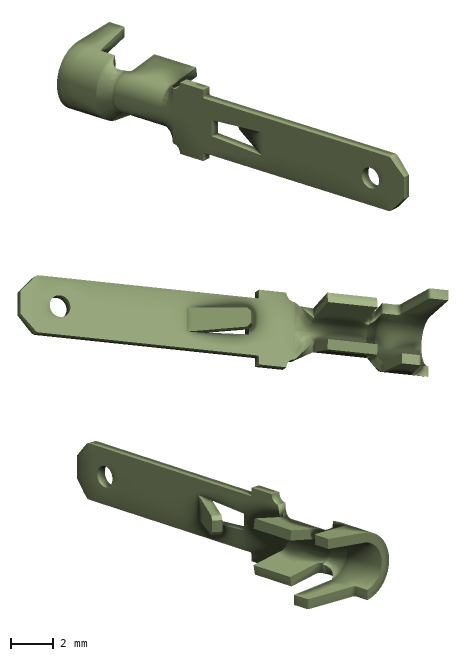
import cadquery as cq
import math

length = 20.57
height = 3.95
sheet = 0.5

barrel_end = 2.37
neck_waist = 2.63
neck_end = 3.0
crimp_start = 3.33
crimp_end = 5.86
shoulder_start = 7.05
shoulder_end = 8.45
tip_corner = 19.77
tip_taper_start = 20.01

barrel_radius = 1.7
barrel_flare = 5.0
barrel_wing_tip = 0.97
barrel_wing_foot = 1.48
wing_tip_round = 0.15
wing_foot_round = 0.16
crimp_radius = 1.1
crimp_flare = 10.0
crimp_wing_length = 1.83
crimp_foot_round = 0.25
plate_bottom = 0.5
barrel_center = barrel_radius
crimp_center = plate_bottom + crimp_radius

edge_angle = 10.0
waist_edge_angle = 25.0

blade_half_width = 1.4
shoulder_half_width = 1.83
shoulder_cove = shoulder_half_width - blade_half_width
plate_start = shoulder_start - shoulder_cove
shoulder_round = 0.08
tip_half_width = 0.55
tip_corner_round = 0.25
tip_thinning = 0.06
hole_x = 18.57
hole_diameter = 1.05

lance_root = 11.97
lance_length = 3.19
lance_angle = 31.0
lance_root_half_width = 0.6
lance_tip_half_width = 0.47
lance_corner = 0.19
slot_start = 8.97
slot_tip_half_width = 0.41


def polar(center_y, radius, angle):
    """(Y, Z) point on a circle about Z = 0, with the angle measured from +Z toward -Y."""
    a = math.radians(angle)
    return (center_y - radius * math.sin(a), radius * math.cos(a))


def mirrored(point):
    return (point[0], -point[1])


def winged_section(x, center_y, radius, flare, wing_length):
    """U section: a curled floor and two straight wings tangent to it."""
    a = math.radians(flare)
    outer_foot = polar(center_y, radius, flare)
    inner_foot = polar(center_y, radius - sheet, flare)
    rise = (wing_length * math.cos(a), wing_length * math.sin(a))
    outer_tip = (outer_foot[0] + rise[0], outer_foot[1] + rise[1])
    inner_tip = (inner_foot[0] + rise[0], inner_foot[1] + rise[1])
    return (
        cq.Workplane("YZ", origin=(x, 0, 0))
        .moveTo(*outer_tip)
        .lineTo(*outer_foot)
        .threePointArc((center_y - radius, 0), mirrored(outer_foot))
        .lineTo(*mirrored(outer_tip))
        .lineTo(*mirrored(inner_tip))
        .lineTo(*mirrored(inner_foot))
        .threePointArc((center_y - radius + sheet, 0), inner_foot)
        .lineTo(*inner_tip)
        .close()
    )


def curled_wire(x, center_y, radius, angle):
    """Closed outline of the curled sheet alone, without wings."""
    outer = polar(center_y, radius, angle)
    inner = polar(center_y, radius - sheet, angle)
    outline = (
        cq.Workplane("YZ", origin=(x, 0, 0))
        .moveTo(*outer)
        .threePointArc((center_y - radius, 0), mirrored(outer))
        .lineTo(*mirrored(inner))
        .threePointArc((center_y - radius + sheet, 0), inner)
        .close()
    )
    return outline.val()


def half_curled_wire(x, center_y, radius, angle):
    """Closed outline of the +Z half of the curled sheet."""
    outer = polar(center_y, radius, angle)
    inner = polar(center_y, radius - sheet, angle)
    middle_angle = (90 + angle) / 2
    outline = (
        cq.Workplane("YZ", origin=(x, 0, 0))
        .moveTo(*outer)
        .threePointArc(polar(center_y, radius, middle_angle), (center_y - radius, 0))
        .lineTo(center_y - radius + sheet, 0)
        .threePointArc(polar(center_y, radius - sheet, middle_angle), inner)
        .close()
    )
    return outline.val()


def half_flat_wire(x):
    """Closed outline of the +Z half of the flat sheet where the blade begins."""
    outline = cq.Workplane("YZ", origin=(x, 0, 0)).polyline([
        (plate_bottom, blade_half_width),
        (plate_bottom, 0),
        (plate_bottom + sheet, 0),
        (plate_bottom + sheet, blade_half_width),
    ]).close()
    return outline.val()


def joined(wires):
    return cq.Workplane(cq.Solid.makeLoft(wires))


def barrel_wing_gap():
    """Space beside the +Z wing, which stands at the open end of the barrel."""
    foot_y = polar(barrel_center, barrel_radius, edge_angle)[0]
    gap = (
        cq.Workplane("XY")
        .moveTo(barrel_wing_tip, height)
        .lineTo(barrel_wing_foot, foot_y)
        .lineTo(barrel_end, foot_y)
        .lineTo(barrel_end, height)
        .close()
        .extrude(2 * barrel_radius)
    )
    foot_edge = cq.selectors.NearestToPointSelector((barrel_wing_foot, foot_y, barrel_radius))
    return gap.edges(foot_edge).fillet(wing_foot_round)


def barrel():
    """Insulation barrel with one wing at each end, on opposite sides."""
    overlong_wing = height
    body = winged_section(0, barrel_center, barrel_radius, barrel_flare, overlong_wing).extrude(barrel_end)
    body = body.intersect(cq.Workplane("XY").box(barrel_end, height, length, (False, False, True)))
    gap = barrel_wing_gap()
    opposite_gap = gap.rotate((barrel_end / 2, 0, 0), (barrel_end / 2, 1, 0), 180)
    body = body.cut(gap).cut(opposite_gap)
    tip_edges = cq.selectors.BoxSelector(
        (barrel_wing_tip - wing_tip_round, height - wing_tip_round, -length),
        (barrel_end - barrel_wing_tip + wing_tip_round, height + wing_tip_round, length),
    )
    return body.edges("|Z").edges(tip_edges).fillet(wing_tip_round)


def neck():
    """Curled sheet narrowing from the barrel to the wire crimp, with a dip in its edges."""
    share = (neck_waist - barrel_end) / (neck_end - barrel_end)
    waist_radius = barrel_radius + share * (crimp_radius - barrel_radius)
    waist_center = barrel_center + share * (crimp_center - barrel_center)
    return joined([
        curled_wire(barrel_end, barrel_center, barrel_radius, edge_angle),
        curled_wire(neck_waist, waist_center, waist_radius, waist_edge_angle),
        curled_wire(neck_end, crimp_center, crimp_radius, edge_angle),
    ])


def crimp():
    """Wire crimp; its wings begin with a rounded foot at the neck side."""
    body = winged_section(neck_end, crimp_center, crimp_radius, crimp_flare, crimp_wing_length)
    body = body.extrude(crimp_end - neck_end)
    foot_y = polar(crimp_center, crimp_radius, edge_angle)[0]
    wing_clearance = (
        cq.Workplane("XY")
        .moveTo(neck_end, foot_y)
        .lineTo(crimp_start - crimp_foot_round, foot_y)
        .radiusArc((crimp_start, foot_y + crimp_foot_round), -crimp_foot_round)
        .lineTo(crimp_start, height)
        .lineTo(neck_end, height)
        .close()
        .extrude(2 * crimp_radius, both=True)
    )
    return body.cut(wing_clearance)


def flare():
    """The curled sheet opening out flat between the crimp and the blade."""
    half = joined([
        half_curled_wire(crimp_end, crimp_center, crimp_radius, edge_angle),
        half_flat_wire(plate_start),
    ])
    return half.union(half.mirror("XY"))


def blade():
    """Flat blade with shoulders, a thinned pointed tip, a hole and the lance slot."""
    sheet_plane = cq.Workplane("XZ", origin=(0, plate_bottom, 0))
    half = (
        sheet_plane.moveTo(plate_start, 0)
        .lineTo(plate_start, blade_half_width)
        .radiusArc((shoulder_start, shoulder_half_width), -shoulder_cove)
        .lineTo(shoulder_end, shoulder_half_width)
        .lineTo(shoulder_end, blade_half_width + shoulder_round)
        .radiusArc((shoulder_end + shoulder_round, blade_half_width), -shoulder_round)
        .lineTo(tip_corner, blade_half_width)
        .lineTo(length, tip_half_width)
        .lineTo(length, 0)
        .close()
        .extrude(-sheet)
    )
    corner = cq.selectors.NearestToPointSelector((tip_corner, plate_bottom + sheet / 2, blade_half_width))
    half = half.edges(corner).fillet(tip_corner_round)
    body = half.union(half.mirror("XY"))

    for face_y, inward in ((plate_bottom, 1), (plate_bottom + sheet, -1)):
        thinning = (
            cq.Workplane("XY")
            .polyline([
                (tip_taper_start, face_y),
                (length, face_y),
                (length, face_y + inward * tip_thinning),
            ])
            .close()
            .extrude(blade_half_width, both=True)
        )
        body = body.cut(thinning)

    hole = sheet_plane.center(hole_x, 0).circle(hole_diameter / 2).extrude(-sheet)
    slot_outline = [
        (lance_root, lance_root_half_width),
        (slot_start, slot_tip_half_width),
        (slot_start, -slot_tip_half_width),
        (lance_root, -lance_root_half_width),
    ]
    slot = sheet_plane.polyline(slot_outline).close().extrude(-sheet)
    return body.cut(hole).cut(slot)


def lance():
    """Tongue rising from the slot's root toward the crimp, with its tip corners cut off."""
    a = math.radians(lance_angle)
    lower_face = cq.Plane(
        origin=(lance_root, plate_bottom, 0),
        xDir=(-math.cos(a), math.sin(a), 0),
        normal=(math.sin(a), math.cos(a), 0),
    )
    return (
        cq.Workplane(lower_face)
        .polyline([
            (0, lance_root_half_width),
            (lance_length - lance_corner, lance_tip_half_width),
            (lance_length, lance_tip_half_width - lance_corner),
            (lance_length, lance_corner - lance_tip_half_width),
            (lance_length - lance_corner, -lance_tip_half_width),
            (0, -lance_root_half_width),
        ])
        .close()
        .extrude(sheet)
    )


result = barrel().union(neck()).union(crimp()).union(flare()).union(blade()).union(lance())